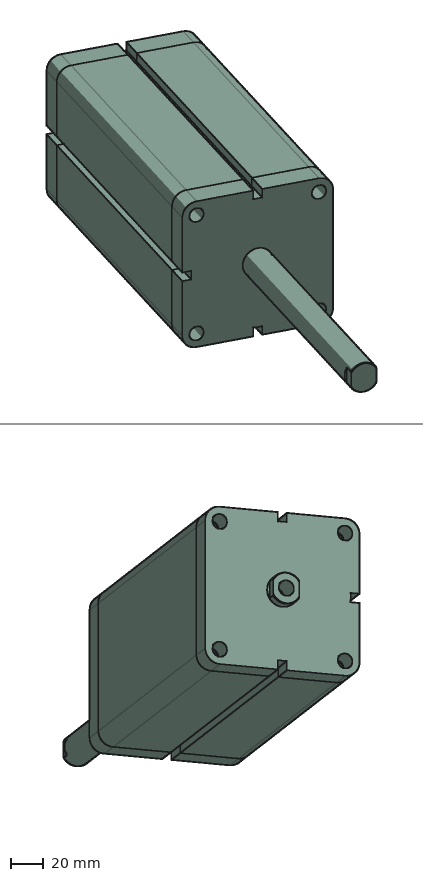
import cadquery as cq
import math


rod_length = 392.5
short_stub = 7.5
cap_length = 16.5
housing_length = 216.3
barrel_length = housing_length - 2 * cap_length

side = 100.0
corner_radius = 9.5
cap_bolt_hole_diameter = 9.5
barrel_bolt_hole_diameter = 8.5
bolt_pitch = side - 2 * corner_radius
slot_width = 6.0
slot_depth = 6.0

rod_diameter = 20.0
flat_spacing = 17.0
flat_length = 6.5
end_chamfer = 0.5

end_hole_diameter = 10.0
end_hole_depth = 19.5
drill_point_angle = 118.0


def slot_cutter(length, angle):
    """Rectangular slot along Z in the profile frame, turned to one side of the square."""
    return (
        cq.Workplane("XY")
        .center(side / 2 - slot_depth / 2, 0)
        .rect(slot_depth, slot_width)
        .extrude(length)
        .rotate((0, 0, 0), (0, 0, 1), angle)
    )


def housing_section(start_x, length, bolt_hole_diameter):
    """Length of square profile with bolt holes, rod bore and slots on -Y, +Z and -Z."""
    section = (
        cq.Workplane("XY")
        .rect(side, side)
        .extrude(length)
        .edges("|Z")
        .fillet(corner_radius)
        .faces(">Z")
        .workplane()
        .rect(bolt_pitch, bolt_pitch, forConstruction=True)
        .vertices()
        .hole(bolt_hole_diameter)
        .faces(">Z")
        .workplane()
        .hole(rod_diameter)
    )
    for slot_angle in (0, 180, 270):
        section = section.cut(slot_cutter(length, slot_angle))
    return section.rotate((0, 0, 0), (0, 1, 0), 90).translate((start_x, 0, 0))


def wrench_flats(start_x):
    """Cutters leaving two parallel flats facing -Y and +Y on the rod."""
    flat_depth = (rod_diameter - flat_spacing) / 2
    cutter_offset = (flat_spacing + flat_depth) / 2
    cutter_x = start_x + flat_length / 2
    return (
        cq.Workplane("XY")
        .pushPoints([(cutter_x, -cutter_offset), (cutter_x, cutter_offset)])
        .box(flat_length, flat_depth, rod_diameter)
    )


def end_hole():
    """Revolved cutter for the drilled hole: a cylinder ending in a drill point."""
    hole_radius = end_hole_diameter / 2
    point_depth = hole_radius / math.tan(math.radians(drill_point_angle / 2))
    return (
        cq.Workplane("XY")
        .polyline([
            (0, 0),
            (0, hole_radius),
            (end_hole_depth, hole_radius),
            (end_hole_depth + point_depth, 0),
        ])
        .close()
        .revolve(360, (0, 0, 0), (1, 0, 0))
    )


def piston_rod():
    """Round rod with chamfers and wrench flats at both ends, and a drilled hole in the short end."""
    return (
        cq.Workplane("YZ")
        .circle(rod_diameter / 2)
        .extrude(rod_length)
        .faces("<X or >X")
        .chamfer(end_chamfer)
        .cut(wrench_flats(0))
        .cut(wrench_flats(rod_length - flat_length))
        .cut(end_hole())
    )


barrel_start = short_stub + cap_length
short_end_cap = housing_section(short_stub, cap_length, cap_bolt_hole_diameter)
barrel = housing_section(barrel_start, barrel_length, barrel_bolt_hole_diameter)
long_end_cap = housing_section(barrel_start + barrel_length, cap_length, cap_bolt_hole_diameter)
rod = piston_rod()

result = cq.Compound.makeCompound([
    short_end_cap.val(),
    barrel.val(),
    long_end_cap.val(),
    rod.val(),
])